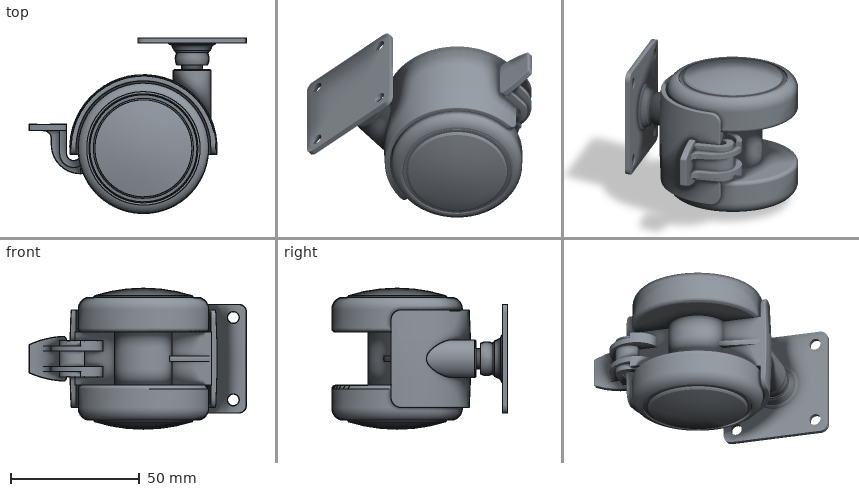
import cadquery as cq
import math


WHEEL_RADIUS = 25.3
WHEEL_INNER_Z = 10.3
TREAD_END_Z = 19.25
WHEEL_FACE_Z = 23.7
INNER_EDGE_FILLET = 1.5
RIM_OUTER_RADIUS = 22.0
RIM_INNER_RADIUS = 21.2
GROOVE_INNER_RADIUS = 20.8
GROOVE_DEPTH = 0.85
FLANGE_DEPTH = 0.4
CAP_RADIUS = 19.4
CAP_CHAMFER = 0.6
CAP_EDGE_Z = 24.5
OVERALL_WIDTH = 54.8
DOME_TOP_Z = OVERALL_WIDTH / 2

HUB_RADIUS = 11.4
BODY_BOTTOM_Y = -2.4
SHIELD_INNER_RADIUS = 26.2
SHIELD_EDGE_RADIUS = 28.0
SHIELD_CROWN_RADIUS = 28.6
SHIELD_HALF_WIDTH = 19.0
SHIELD_CORNER_RADIUS = 4.0
SHIELD_EDGE_FILLET = 0.4

GUSSET_START_X = 10.1
GUSSET_END_X = 26.2
GUSSET_DEPTH = 2.9
GUSSET_HALF_WIDTH = 1.0
GUSSET_DRAFT = 6.0

PLATE_TOP_Y = 42.9
PLATE_SIZE = 42.2
PLATE_THICKNESS = 2.0
PLATE_CORNER_RADIUS = 3.0
PLATE_HOLE_DIAMETER = 4.5
PLATE_HOLE_SPACING = 32.0

STEM_X = 18.9
FLARE_BASE_RADIUS = 9.3
FLARE_TIP_RADIUS = 6.3
FLARE_LENGTH = 3.7
FLARE_WALL_TOP_RADIUS = 8.0
FLARE_WALL_BOTTOM_RADIUS = 6.9
FLARE_ROOT_LENGTH = 0.7
FLARE_TIP_LENGTH = 0.8
FLARE_ROUND_BULGE = 0.2
BALL_EDGE_RADIUS = 5.9
BALL_RADIUS = 6.6
BALL_LENGTH = 4.8
NECK_RADIUS = 4.05
NECK_LENGTH = 1.8
SOCKET_RADIUS = 7.35
SOCKET_CHAMFER = 0.4

PAD_LEFT_X = -44.4
PAD_RIGHT_X = -29.8
PAD_BOTTOM_Y = 6.8
PAD_EDGE_Y = 9.2
PAD_CROWN_Y = 9.45
PAD_LEFT_HALF_WIDTH = 5.5
PAD_RIGHT_HALF_WIDTH = 8.8
PAD_SIDE_BULGE = 0.8
PAD_LEFT_CORNER_RADIUS = 0.8
PAD_RIGHT_CORNER_RADIUS = 1.5
PAD_EDGE_FILLET = 0.3
HOOK_INNER_RADIUS = 2.7
HOOK_THICKNESS = 2.7
HOOK_CENTER_Y = -2.0
HOOK_END_X = -22.9
HOOK_WIDTH = 14.1
HOOK_HALF_WIDTH = HOOK_WIDTH / 2
RIB_INNER_Z = 2.95
RIB_OUTER_Z = 5.0
RIB_DEPTH = 2.45
RIB_LEFT_X = -35.8
RIB_ROOT_RADIUS = 3.0
RIB_BEND_RADIUS = 11.4
LUG_RADIUS = 8.7
LUG_THICKNESS = 2.0

DIAGONAL = math.sqrt(0.5)


def mirror_z(half):
    """Join a shape with its mirror image across the Z = 0 plane."""
    return half.union(half.mirror("XY"))


def make_wheel():
    """Upper wheel with its hub cap."""
    shoulder_inset = WHEEL_RADIUS - RIM_OUTER_RADIUS
    shoulder_height = WHEEL_FACE_Z - TREAD_END_Z
    shoulder_radius = (shoulder_inset**2 + shoulder_height**2) / (2 * shoulder_inset)
    half_angle = math.asin(shoulder_height / shoulder_radius) / 2
    shoulder_mid = (
        WHEEL_RADIUS - shoulder_radius * (1 - math.cos(half_angle)),
        TREAD_END_Z + shoulder_radius * math.sin(half_angle),
    )

    dome_start = CAP_RADIUS - CAP_CHAMFER
    dome_height = DOME_TOP_Z - CAP_EDGE_Z
    dome_radius = (dome_start**2 + dome_height**2) / (2 * dome_height)
    dome_mid_x = dome_start / 2
    dome_mid_z = DOME_TOP_Z - dome_radius + math.sqrt(dome_radius**2 - dome_mid_x**2)

    fillet_center = (WHEEL_RADIUS - INNER_EDGE_FILLET, WHEEL_INNER_Z + INNER_EDGE_FILLET)
    fillet_mid = (
        fillet_center[0] + INNER_EDGE_FILLET * DIAGONAL,
        fillet_center[1] - INNER_EDGE_FILLET * DIAGONAL,
    )
    profile = (
        cq.Workplane("XZ")
        .moveTo(0, WHEEL_INNER_Z)
        .lineTo(fillet_center[0], WHEEL_INNER_Z)
        .threePointArc(fillet_mid, (WHEEL_RADIUS, fillet_center[1]))
        .lineTo(WHEEL_RADIUS, TREAD_END_Z)
        .threePointArc(shoulder_mid, (RIM_OUTER_RADIUS, WHEEL_FACE_Z))
        .lineTo(RIM_INNER_RADIUS, WHEEL_FACE_Z)
        .lineTo(RIM_INNER_RADIUS, WHEEL_FACE_Z - GROOVE_DEPTH)
        .lineTo(GROOVE_INNER_RADIUS, WHEEL_FACE_Z - GROOVE_DEPTH)
        .lineTo(GROOVE_INNER_RADIUS, WHEEL_FACE_Z - FLANGE_DEPTH)
        .lineTo(CAP_RADIUS, WHEEL_FACE_Z - FLANGE_DEPTH)
        .lineTo(CAP_RADIUS, CAP_EDGE_Z - CAP_CHAMFER)
        .lineTo(dome_start, CAP_EDGE_Z)
        .threePointArc((dome_mid_x, dome_mid_z), (0, DOME_TOP_Z))
        .close()
    )
    return profile.revolve(360, (0, 0, 0), (0, 1, 0))


def make_shield():
    """Crowned half-round guard with straight ends and rounded corners."""
    def section():
        return (
            cq.Workplane("XZ")
            .moveTo(SHIELD_INNER_RADIUS, -SHIELD_HALF_WIDTH)
            .lineTo(SHIELD_EDGE_RADIUS, -SHIELD_HALF_WIDTH)
            .threePointArc((SHIELD_CROWN_RADIUS, 0), (SHIELD_EDGE_RADIUS, SHIELD_HALF_WIDTH))
            .lineTo(SHIELD_INNER_RADIUS, SHIELD_HALF_WIDTH)
            .close()
        )

    arch = section().revolve(180, (0, 0, 0), (0, 1, 0))
    end = section().extrude(-BODY_BOTTOM_Y)
    shield = arch.union(end).union(end.mirror("YZ"))

    outline_length = 3 * SHIELD_CROWN_RADIUS
    outline_height = SHIELD_CROWN_RADIUS - BODY_BOTTOM_Y + SHIELD_CORNER_RADIUS
    outline = (
        cq.Workplane("XY")
        .box(outline_length, outline_height, 2 * SHIELD_HALF_WIDTH, centered=(True, False, True))
        .translate((0, BODY_BOTTOM_Y, 0))
        .edges("|X and <Y")
        .fillet(SHIELD_CORNER_RADIUS)
    )
    return shield.intersect(outline).faces("<Y or <Z or >Z").edges().fillet(SHIELD_EDGE_FILLET)


def make_body():
    """Half-disc housing between the wheels, plus the axle hub."""
    width = 2 * WHEEL_INNER_Z
    reach = SHIELD_INNER_RADIUS + SHIELD_EDGE_FILLET
    housing = cq.Workplane("XY").circle(reach).extrude(WHEEL_INNER_Z, both=True)
    keep = (
        cq.Workplane("XY")
        .box(2 * reach, 2 * reach, width, centered=(True, False, True))
        .translate((0, BODY_BOTTOM_Y, 0))
    )
    hub = cq.Workplane("XY").circle(HUB_RADIUS).extrude(WHEEL_INNER_Z, both=True)
    return housing.intersect(keep).union(hub)


def make_gusset():
    """Thin ridge that tapers from the hub to the shield under the body."""
    half = (
        cq.Workplane("XY")
        .moveTo(GUSSET_START_X, 0)
        .lineTo(GUSSET_START_X, BODY_BOTTOM_Y - GUSSET_DEPTH)
        .lineTo(GUSSET_END_X, BODY_BOTTOM_Y)
        .lineTo(GUSSET_END_X, 0)
        .close()
        .extrude(GUSSET_HALF_WIDTH, taper=GUSSET_DRAFT)
    )
    return mirror_z(half)


def make_plate():
    """Square mounting plate with four screw holes."""
    return (
        cq.Workplane("XZ", origin=(STEM_X, PLATE_TOP_Y, 0))
        .rect(PLATE_SIZE, PLATE_SIZE)
        .extrude(PLATE_THICKNESS)
        .edges("|Y")
        .fillet(PLATE_CORNER_RADIUS)
        .faces("<Y")
        .workplane(centerOption="CenterOfBoundBox")
        .rect(PLATE_HOLE_SPACING, PLATE_HOLE_SPACING, forConstruction=True)
        .vertices()
        .hole(PLATE_HOLE_DIAMETER)
    )


def make_stem():
    """Flared foot, ball collar, neck and socket below the plate."""
    flare_top = PLATE_TOP_Y - PLATE_THICKNESS
    ball_top = flare_top - FLARE_LENGTH
    ball_bottom = ball_top - BALL_LENGTH
    socket_top = ball_bottom - NECK_LENGTH
    return (
        cq.Workplane("XY", origin=(STEM_X, 0, 0))
        .moveTo(0, flare_top)
        .lineTo(FLARE_BASE_RADIUS, flare_top)
        .sagittaArc((FLARE_WALL_TOP_RADIUS, flare_top - FLARE_ROOT_LENGTH), FLARE_ROUND_BULGE)
        .lineTo(FLARE_WALL_BOTTOM_RADIUS, ball_top + FLARE_TIP_LENGTH)
        .sagittaArc((FLARE_TIP_RADIUS, ball_top), -FLARE_ROUND_BULGE)
        .lineTo(BALL_EDGE_RADIUS, ball_top)
        .threePointArc((BALL_RADIUS, ball_top - BALL_LENGTH / 2), (BALL_EDGE_RADIUS, ball_bottom))
        .lineTo(NECK_RADIUS, ball_bottom)
        .lineTo(NECK_RADIUS, socket_top)
        .lineTo(SOCKET_RADIUS - SOCKET_CHAMFER, socket_top)
        .lineTo(SOCKET_RADIUS, socket_top - SOCKET_CHAMFER)
        .lineTo(SOCKET_RADIUS, 0)
        .lineTo(0, 0)
        .close()
        .revolve(360, (0, 0, 0), (0, 1, 0))
    )


def make_pad():
    """Foot pad of the brake lever: tapered outline and a slightly crowned top."""
    height = PAD_CROWN_Y - PAD_BOTTOM_Y
    blank = (
        cq.Workplane("XZ", origin=(0, PAD_CROWN_Y, 0))
        .moveTo(PAD_LEFT_X, -PAD_LEFT_HALF_WIDTH)
        .sagittaArc((PAD_RIGHT_X, -PAD_RIGHT_HALF_WIDTH), -PAD_SIDE_BULGE)
        .lineTo(PAD_RIGHT_X, PAD_RIGHT_HALF_WIDTH)
        .sagittaArc((PAD_LEFT_X, PAD_LEFT_HALF_WIDTH), -PAD_SIDE_BULGE)
        .close()
        .extrude(height)
        .edges("|Y and <X")
        .fillet(PAD_LEFT_CORNER_RADIUS)
        .edges("|Y and >X")
        .fillet(PAD_RIGHT_CORNER_RADIUS)
    )
    crown = (
        cq.Workplane("YZ", origin=(PAD_LEFT_X, 0, 0))
        .moveTo(PAD_BOTTOM_Y, -PAD_RIGHT_HALF_WIDTH)
        .lineTo(PAD_EDGE_Y, -PAD_RIGHT_HALF_WIDTH)
        .threePointArc((PAD_CROWN_Y, 0), (PAD_EDGE_Y, PAD_RIGHT_HALF_WIDTH))
        .lineTo(PAD_BOTTOM_Y, PAD_RIGHT_HALF_WIDTH)
        .close()
        .extrude(PAD_RIGHT_X - PAD_LEFT_X)
    )
    return blank.intersect(crown).faces(">Y or <Y").edges().fillet(PAD_EDGE_FILLET)


def make_lever():
    """Brake lever: hooked strip around the shield end, two ribs and two lugs."""
    root_y = PAD_BOTTOM_Y + PAD_EDGE_FILLET
    hook_outer_radius = HOOK_INNER_RADIUS + HOOK_THICKNESS
    hook_x = PAD_RIGHT_X + HOOK_INNER_RADIUS
    inner_right_x = hook_x + HOOK_INNER_RADIUS
    hook_outer_left_x = hook_x - hook_outer_radius
    hook_end_drop = math.sqrt(hook_outer_radius**2 - (HOOK_END_X - hook_x) ** 2)
    hook_end_y = HOOK_CENTER_Y - hook_end_drop
    top_y = HOOK_CENTER_Y + HOOK_INNER_RADIUS

    hook = (
        cq.Workplane("XY")
        .moveTo(PAD_RIGHT_X, root_y)
        .lineTo(PAD_RIGHT_X, HOOK_CENTER_Y)
        .threePointArc((hook_x, HOOK_CENTER_Y - HOOK_INNER_RADIUS), (inner_right_x, HOOK_CENTER_Y))
        .lineTo(inner_right_x, top_y)
        .lineTo(HOOK_END_X, top_y)
        .lineTo(HOOK_END_X, hook_end_y)
        .threePointArc((hook_x, HOOK_CENTER_Y - hook_outer_radius), (hook_outer_left_x, HOOK_CENTER_Y))
        .lineTo(hook_outer_left_x, root_y)
        .close()
        .extrude(HOOK_HALF_WIDTH, both=True)
    )

    lug_x = RIB_LEFT_X + RIB_BEND_RADIUS
    lug_right_x = lug_x + LUG_RADIUS
    lug_inner_radius = LUG_RADIUS - LUG_THICKNESS
    lug_bottom_y = HOOK_CENTER_Y - hook_outer_radius - RIB_DEPTH
    lug_center_y = lug_bottom_y + LUG_RADIUS
    bend_center_y = lug_bottom_y + RIB_BEND_RADIUS

    rib_root_x = RIB_LEFT_X - RIB_ROOT_RADIUS
    rib_root_y = PAD_BOTTOM_Y - RIB_ROOT_RADIUS
    rib = (
        cq.Workplane("XY", origin=(0, 0, RIB_INNER_Z))
        .moveTo(PAD_RIGHT_X, root_y)
        .lineTo(rib_root_x, root_y)
        .lineTo(rib_root_x, PAD_BOTTOM_Y)
        .threePointArc(
            (rib_root_x + RIB_ROOT_RADIUS * DIAGONAL, rib_root_y + RIB_ROOT_RADIUS * DIAGONAL),
            (RIB_LEFT_X, rib_root_y),
        )
        .lineTo(RIB_LEFT_X, bend_center_y)
        .threePointArc(
            (lug_x - RIB_BEND_RADIUS * DIAGONAL, bend_center_y - RIB_BEND_RADIUS * DIAGONAL),
            (lug_x, lug_bottom_y),
        )
        .threePointArc(
            (lug_x + LUG_RADIUS * DIAGONAL, lug_center_y - LUG_RADIUS * DIAGONAL),
            (lug_right_x, lug_center_y),
        )
        .lineTo(inner_right_x, lug_center_y)
        .lineTo(inner_right_x, HOOK_CENTER_Y)
        .threePointArc((hook_x, HOOK_CENTER_Y - HOOK_INNER_RADIUS), (PAD_RIGHT_X, HOOK_CENTER_Y))
        .close()
        .extrude(RIB_OUTER_Z - RIB_INNER_Z)
    )
    lug = (
        cq.Workplane("XY", origin=(0, 0, RIB_INNER_Z))
        .moveTo(lug_x, lug_bottom_y)
        .threePointArc(
            (lug_x + LUG_RADIUS * DIAGONAL, lug_center_y - LUG_RADIUS * DIAGONAL),
            (lug_right_x, lug_center_y),
        )
        .lineTo(lug_right_x - LUG_THICKNESS, lug_center_y)
        .threePointArc(
            (lug_x + lug_inner_radius * DIAGONAL, lug_center_y - lug_inner_radius * DIAGONAL),
            (lug_x, lug_bottom_y + LUG_THICKNESS),
        )
        .close()
        .extrude(HOOK_HALF_WIDTH - RIB_INNER_Z)
    )
    return hook.union(mirror_z(rib.union(lug))).union(make_pad())


result = (
    make_body()
    .union(make_shield())
    .union(make_gusset())
    .union(make_stem())
    .union(make_plate())
    .union(make_lever())
    .union(mirror_z(make_wheel()))
)